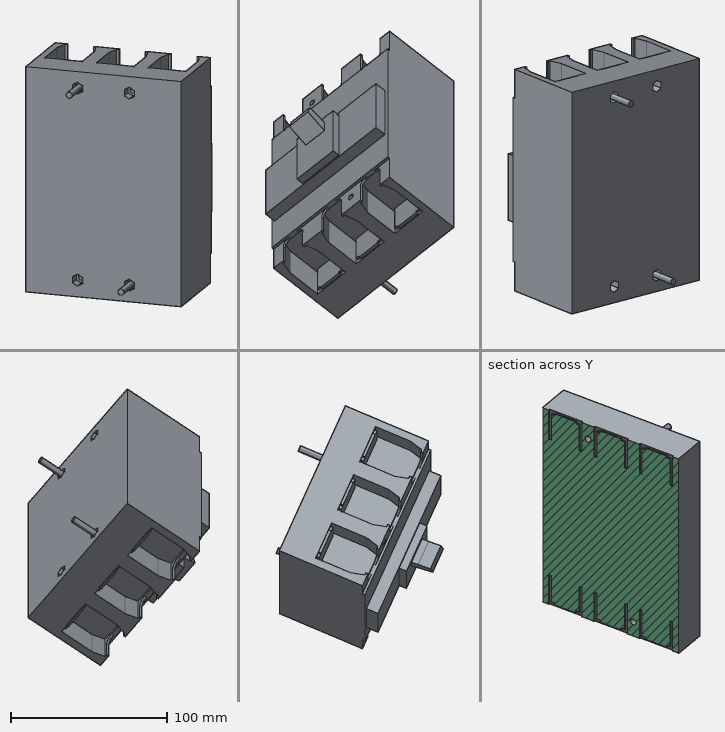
import cadquery as cq

case_width = 105.0
case_depth = 58.0
case_length = 150.0
half_length = case_length / 2

plate_length = 111.0
plate_top_y = 59.7
cover_width = 99.9
cover_length = 45.0
cover_center_z = -7.8
cover_top_y = 67.8
bezel_width = 32.7
bezel_length = 41.1
bezel_center_z = -8.2
bezel_top_y = 72.9

toggle_width = 16.8
toggle_tip_y = 87.8
toggle_profile = [
    (bezel_top_y, -1.0),
    (toggle_tip_y, 5.0),
    (86.1, 10.8),
    (77.5, 8.8),
    (bezel_top_y, 7.4),
]

pole_pitch = 35.0
pole_count = 3
pocket_width = 25.4
pocket_mouth_width = 20.8
pocket_depth = 22.5
pocket_front_y = 23.2
pocket_taper_y = 47.7
pocket_back_y = 56.4

slot_width = 17.5
slot_fillet = 5.2
slot_depth = half_length - plate_length / 2

ledge_projection = 1.8
ledge_width = 21.8
ledge_step_width = 17.1
ledge_crown_width = 16.2
ledge_drop = 1.2
ledge_step = 1.5

screw_x = pole_pitch / 2
screw_z = 63.9
screw_diameter = 4.0
screw_projection = 16.6
hex_across_corners = 7.8
hex_depth = 7.5


def layer(width, length, center_z, bottom_y, top_y):
    """Rectangular block between two Y levels."""
    return (
        cq.Workplane("XY")
        .box(width, top_y - bottom_y, length, centered=(True, False, True))
        .translate((0, bottom_y, center_z))
    )


def toggle():
    return cq.Workplane("YZ").polyline(toggle_profile).close().extrude(toggle_width / 2, both=True)


def terminal_pocket():
    """Tapered pocket open at the +Z end, centred on X = 0."""
    outline = [
        (-pocket_width / 2, pocket_front_y),
        (pocket_width / 2, pocket_front_y),
        (pocket_width / 2, pocket_taper_y),
        (pocket_mouth_width / 2, pocket_back_y),
        (-pocket_mouth_width / 2, pocket_back_y),
        (-pocket_width / 2, pocket_taper_y),
    ]
    pocket = (
        cq.Workplane("XY", origin=(0, 0, half_length - pocket_depth))
        .polyline(outline)
        .close()
        .extrude(pocket_depth)
    )
    return pocket.union(access_slot()).cut(pocket_ledge())


def access_slot():
    """Slot through the thin back wall of a pocket, with rounded lower corners."""
    slot = layer(
        slot_width, slot_depth, half_length - slot_depth / 2, pocket_back_y, case_depth
    )
    return slot.edges("|Y and <Z").fillet(slot_fillet)


def pocket_ledge():
    """Ledge left standing on the front wall of a pocket, with a raised crown."""
    crown_z = half_length - ledge_drop
    step_z = crown_z - ledge_step
    floor_z = half_length - pocket_depth
    outline = [
        (-ledge_width / 2, floor_z),
        (-ledge_width / 2, step_z),
        (-ledge_step_width / 2, step_z),
        (-ledge_crown_width / 2, crown_z),
        (ledge_crown_width / 2, crown_z),
        (ledge_step_width / 2, step_z),
        (ledge_width / 2, step_z),
        (ledge_width / 2, floor_z),
    ]
    return (
        cq.Workplane("XZ", origin=(0, pocket_front_y, 0))
        .polyline(outline)
        .close()
        .extrude(-ledge_projection)
    )


def screw_rod(x, z, start_y, end_y):
    """Round rod along Y."""
    return (
        cq.Workplane("XZ", origin=(x, start_y, z))
        .circle(screw_diameter / 2)
        .extrude(start_y - end_y)
    )


def hex_recess(x, z):
    """Hexagonal recess in the mounting face, with corners pointing along Z."""
    return (
        cq.Workplane("XZ", origin=(x, 0, z))
        .transformed(rotate=(0, 0, 90))
        .polygon(6, hex_across_corners)
        .extrude(-hex_depth)
    )


body = layer(case_width, case_length, 0, 0, case_depth)
body = body.union(layer(case_width, plate_length, 0, case_depth, plate_top_y))
body = body.union(layer(cover_width, cover_length, cover_center_z, plate_top_y, cover_top_y))
body = body.union(layer(bezel_width, bezel_length, bezel_center_z, cover_top_y, bezel_top_y))
body = body.union(toggle())

upper_pocket = terminal_pocket()
lower_pocket = upper_pocket.mirror("XY")
for pole in range(pole_count):
    pole_x = (pole - (pole_count - 1) / 2) * pole_pitch
    body = body.cut(upper_pocket.translate((pole_x, 0, 0)))
    body = body.cut(lower_pocket.translate((pole_x, 0, 0)))

for x_side in (-1, 1):
    for z_side in (-1, 1):
        x = x_side * screw_x
        z = z_side * screw_z
        body = body.cut(hex_recess(x, z))
        if x_side == z_side:
            body = body.cut(screw_rod(x, z, 0, case_depth))
        else:
            body = body.union(screw_rod(x, z, -screw_projection, hex_depth))

result = body